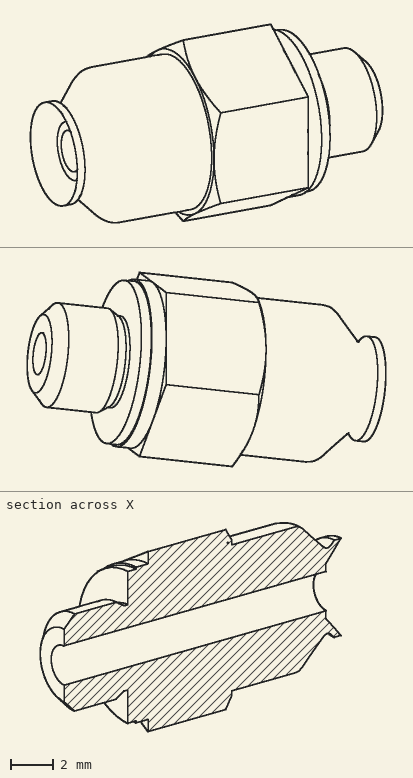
import cadquery as cq
import math

LENGTH = 16.5
NOSE_Y = -LENGTH / 2
STUB_Y = LENGTH / 2

COLLAR_RADIUS = 5.0 / 2
COLLAR_WIDTH = 0.41
BODY_RADIUS = 7.5 / 2
SHOULDER_DEPTH = 2.49
SHOULDER_ROUND = 0.63
NECK_ROUND = 0.28
EDGE_MARGIN = 0.16

HEX_FLATS = 8.0
HEX_FRONT_DEPTH = 10.0
HEX_LENGTH = 5.0
HEX_CHAMFER_ANGLE = 30.0

SEAT_RADIUS = HEX_FLATS / 2
SEAT_END = 4.29
WASHER_RADIUS = 7.8 / 2
WASHER_END = 3.8
RELIEF_START = 3.1
RELIEF_END = 3.6
RELIEF_RADIUS = 2.2
STUB_RADIUS = 5.0 / 2
STUB_CHAMFER = 0.63

BORE_RADIUS = 2.0 / 2
FUNNEL_BOTTOM_RADIUS = 1.42
FUNNEL_DEPTH = 0.89

HEX_FRONT_Y = STUB_Y - HEX_FRONT_DEPTH
HEX_BACK_Y = HEX_FRONT_Y + HEX_LENGTH


def revolve_profile(points):
    """Revolve a closed (radius, y) outline about the Y axis."""
    return cq.Workplane("XY").polyline(points).close().revolve(360, (0, 0, 0), (0, 1, 0))


def make_nose():
    collar_back_y = NOSE_Y + COLLAR_WIDTH
    shoulder_y = NOSE_Y + SHOULDER_DEPTH
    neck_to_collar = (shoulder_y - collar_back_y - BODY_RADIUS + COLLAR_RADIUS) / 2
    neck_y = collar_back_y + neck_to_collar
    neck_radius = COLLAR_RADIUS - neck_to_collar
    nose = revolve_profile([
        (0, NOSE_Y),
        (COLLAR_RADIUS, NOSE_Y),
        (COLLAR_RADIUS, collar_back_y),
        (neck_radius, neck_y),
        (BODY_RADIUS, shoulder_y),
        (BODY_RADIUS, HEX_FRONT_Y),
        (0, HEX_FRONT_Y),
    ])
    nose = nose.edges(cq.selectors.RadiusNthSelector(0)).fillet(NECK_ROUND)
    shoulder_box = cq.selectors.BoxSelector(
        (-LENGTH, shoulder_y - EDGE_MARGIN, -LENGTH),
        (LENGTH, shoulder_y + EDGE_MARGIN, LENGTH),
        boundingbox=True,
    )
    return nose.edges(shoulder_box).fillet(SHOULDER_ROUND)


def make_hexagon():
    corner_radius = HEX_FLATS / math.sqrt(3)
    chamfer_length = (corner_radius - SEAT_RADIUS) * math.tan(math.radians(HEX_CHAMFER_ANGLE))
    prism = (
        cq.Workplane("XZ", origin=(0, HEX_BACK_Y, 0))
        .transformed(rotate=(0, 0, 90))
        .polygon(6, 2 * corner_radius)
        .extrude(HEX_LENGTH)
    )
    envelope = revolve_profile([
        (0, HEX_FRONT_Y),
        (SEAT_RADIUS, HEX_FRONT_Y),
        (corner_radius, HEX_FRONT_Y + chamfer_length),
        (corner_radius, HEX_BACK_Y),
        (0, HEX_BACK_Y),
    ])
    return prism.intersect(envelope)


def make_stub():
    return revolve_profile([
        (0, HEX_BACK_Y),
        (SEAT_RADIUS, HEX_BACK_Y),
        (SEAT_RADIUS, STUB_Y - SEAT_END),
        (WASHER_RADIUS, STUB_Y - SEAT_END),
        (WASHER_RADIUS, STUB_Y - WASHER_END),
        (RELIEF_RADIUS, STUB_Y - WASHER_END),
        (RELIEF_RADIUS, STUB_Y - RELIEF_END),
        (STUB_RADIUS, STUB_Y - RELIEF_START),
        (STUB_RADIUS, STUB_Y - STUB_CHAMFER),
        (STUB_RADIUS - STUB_CHAMFER, STUB_Y),
        (0, STUB_Y),
    ])


def make_bore():
    """Through bore with a funnel that opens to a sharp rim at the nose."""
    funnel_bottom_y = NOSE_Y + FUNNEL_DEPTH
    return revolve_profile([
        (0, NOSE_Y),
        (COLLAR_RADIUS, NOSE_Y),
        (FUNNEL_BOTTOM_RADIUS, funnel_bottom_y),
        (BORE_RADIUS, funnel_bottom_y),
        (BORE_RADIUS, STUB_Y),
        (0, STUB_Y),
    ])


result = make_nose().union(make_hexagon()).union(make_stub()).cut(make_bore())